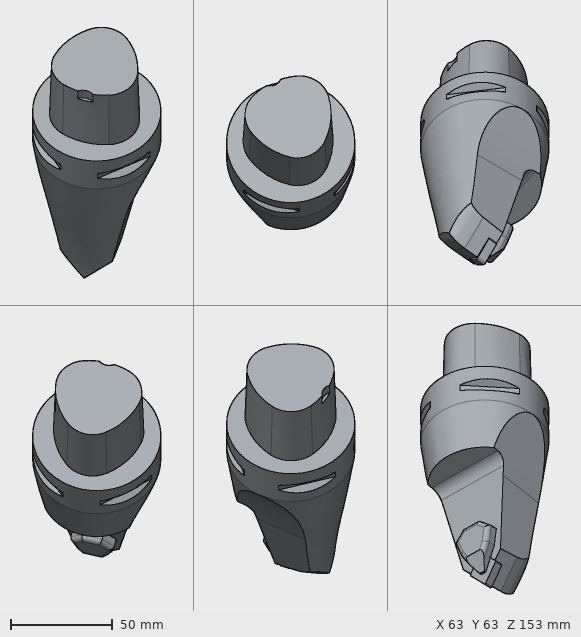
import cadquery as cq
import math


SHANK_LENGTH = 38.0
SHANK_TAPER = math.degrees(math.atan(1 / 40))
FLAT_REACH = 20.7
LOBE_REACH = 23.4
FLAT_RADIUS = 35.6
KEYWAY_RADIUS = 6.0
KEYWAY_WIDTH = 8.0
KEYWAY_LENGTH = 6.0

FLANGE_RADIUS = 63.0 / 2
FLANGE_HEIGHT = 22.2
GROOVE_Z = -12.0
GROOVE_FLOOR_DISTANCE = 27.9
GROOVE_FLOOR_WIDTH = 3.5
GROOVE_FLANK_ANGLE = 30.0

TIP_Z = -115.0
CONE_END_RADIUS = 22.4
CONE_END_Z = -92.0
NECK_RADIUS = 21.7
NECK_Z = -103.0

WAIST_LINE_Z = -60.3
WAIST_HALF_WIDTH = 19.0
WAIST_ANGLE = 10.0

LEDGE_Z = -50.0
RAKE_TOP_Y = 10.2
RAKE_ANGLE = 9.0
RAKE_FILLET = 6.0

INSERT_INSCRIBED_DIAMETER = 12.7
INSERT_POINT_ANGLE = 80.0
INSERT_THICKNESS = 4.76
INSERT_NOSE_RADIUS = 0.8

POINT_SETBACK = 1.4
POINT_ANGLE = 83.0
RIDGE_LENGTH = 12.5
HEEL_RADIUS = 16.1
HEEL_TURN = 60.0

CLAMP_NOSE = 6.4
CLAMP_SHOULDER = 18.7
CLAMP_CORNER = 27.5
CLAMP_BACK = 33.0
CLAMP_HEIGHT = 6.3
CLAMP_NOSE_HEIGHT = 1.2
CLAMP_RAMP_END = 15.5
CLAMP_NOSE_HALF_WIDTH = 1.5
CLAMP_SHOULDER_HALF_WIDTH = 8.5
CLAMP_CORNER_HALF_WIDTH = 11.0
CLAMP_BACK_HALF_WIDTH = 5.0
CLAMP_EDGE_RADIUS = 2.5

MARGIN = 5.0

rake = math.radians(RAKE_ANGLE)
rake_sin = math.sin(rake)
rake_cos = math.cos(rake)
tip_y = RAKE_TOP_Y - (LEDGE_Z - TIP_Z) * math.tan(rake)

rake_plane = cq.Plane(
    origin=(0, tip_y, TIP_Z), xDir=(1, 0, 0), normal=(0, rake_cos, -rake_sin)
)


def polar(distance, degrees):
    angle = math.radians(degrees)
    return (distance * math.cos(angle), distance * math.sin(angle))


def make_shank():
    flat_offset = FLAT_RADIUS - FLAT_REACH
    lobe_gap = FLAT_RADIUS - LOBE_REACH
    lobe_offset = (flat_offset**2 - lobe_gap**2) / (2 * lobe_gap - flat_offset)
    lobe_x, lobe_y = polar(lobe_offset, -30)
    joint_direction = math.atan2(lobe_y - flat_offset, lobe_x)
    joint_x = FLAT_RADIUS * math.cos(joint_direction)
    joint_y = flat_offset + FLAT_RADIUS * math.sin(joint_direction)
    joint_reach = math.hypot(joint_x, joint_y)
    joint_angle = math.degrees(math.atan2(joint_y, joint_x))
    flat_half_angle = joint_angle + 90

    outline = cq.Workplane("XY").moveTo(-joint_x, joint_y)
    for flat_angle in (-90, 30, 150):
        outline = outline.threePointArc(
            polar(FLAT_REACH, flat_angle), polar(joint_reach, flat_angle + flat_half_angle)
        )
        outline = outline.threePointArc(
            polar(LOBE_REACH, flat_angle + 60), polar(joint_reach, flat_angle + 120 - flat_half_angle)
        )
    shank = outline.close().extrude(SHANK_LENGTH, taper=SHANK_TAPER)

    top_flat_y = -(FLAT_REACH - SHANK_LENGTH * math.tan(math.radians(SHANK_TAPER)))
    keyway_sagitta = KEYWAY_RADIUS - math.sqrt(KEYWAY_RADIUS**2 - (KEYWAY_WIDTH / 2) ** 2)
    keyway = (
        cq.Workplane("XY", origin=(0, top_flat_y + keyway_sagitta - KEYWAY_RADIUS, SHANK_LENGTH))
        .circle(KEYWAY_RADIUS)
        .extrude(-KEYWAY_LENGTH)
    )
    return shank.cut(keyway)


def make_head_blank():
    cone_direction = (CONE_END_RADIUS - FLANGE_RADIUS, CONE_END_Z + FLANGE_HEIGHT)
    cone_middle_radius = (FLANGE_RADIUS + CONE_END_RADIUS) / 2
    cone_middle_z = (CONE_END_Z - FLANGE_HEIGHT) / 2
    return (
        cq.Workplane("XZ")
        .moveTo(0, 0)
        .lineTo(FLANGE_RADIUS, 0)
        .lineTo(FLANGE_RADIUS, -FLANGE_HEIGHT)
        .spline(
            [
                (cone_middle_radius, cone_middle_z),
                (CONE_END_RADIUS, CONE_END_Z),
                (NECK_RADIUS, NECK_Z),
                (NECK_RADIUS, TIP_Z),
            ],
            tangents=[cone_direction, (0, -1)],
            includeCurrent=True,
        )
        .lineTo(0, TIP_Z)
        .close()
        .revolve(360, (0, 0, 0), (0, 1, 0))
    )


def make_gripper_groove(angle):
    depth = FLANGE_RADIUS + MARGIN - GROOVE_FLOOR_DISTANCE
    floor_half = GROOVE_FLOOR_WIDTH / 2
    mouth_half = floor_half + depth * math.tan(math.radians(GROOVE_FLANK_ANGLE))
    outer = GROOVE_FLOOR_DISTANCE + depth
    return (
        cq.Workplane("XZ")
        .moveTo(GROOVE_FLOOR_DISTANCE, GROOVE_Z - floor_half)
        .lineTo(outer, GROOVE_Z - mouth_half)
        .lineTo(outer, GROOVE_Z + mouth_half)
        .lineTo(GROOVE_FLOOR_DISTANCE, GROOVE_Z + floor_half)
        .close()
        .extrude(FLANGE_RADIUS, both=True)
        .rotate((0, 0, 0), (0, 0, 1), angle)
    )


def make_waist_cut():
    """Material removed from the +X side: an arc running tangent into a sloped flat."""
    bottom_z = TIP_Z - MARGIN
    slope = math.tan(math.radians(WAIST_ANGLE))
    bottom_x = WAIST_HALF_WIDTH - (WAIST_LINE_Z - bottom_z) * slope
    outer = FLANGE_RADIUS + MARGIN
    return (
        cq.Workplane("XZ")
        .moveTo(bottom_x, bottom_z)
        .lineTo(WAIST_HALF_WIDTH, WAIST_LINE_Z)
        .tangentArcPoint((FLANGE_RADIUS, -FLANGE_HEIGHT), relative=False)
        .lineTo(outer, -FLANGE_HEIGHT)
        .lineTo(outer, bottom_z)
        .close()
        .extrude(outer, both=True)
    )


def make_rake_cut():
    """Step on the +Y side: a flat ledge, a fillet and the sloped rake face."""
    bottom_z = TIP_Z - MARGIN
    bottom_y = RAKE_TOP_Y - (LEDGE_Z - bottom_z) * math.tan(rake)
    outer = FLANGE_RADIUS + MARGIN
    setback = RAKE_FILLET * math.tan(math.radians(90 - RAKE_ANGLE) / 2)
    arc_end = (RAKE_TOP_Y - setback * rake_sin, LEDGE_Z - setback * rake_cos)
    return (
        cq.Workplane("YZ")
        .moveTo(outer, bottom_z)
        .lineTo(outer, LEDGE_Z)
        .lineTo(RAKE_TOP_Y + setback, LEDGE_Z)
        .tangentArcPoint(arc_end, relative=False)
        .lineTo(bottom_y, bottom_z)
        .close()
        .extrude(outer, both=True)
    )


def make_point_cut(side):
    """Material below one flank of the V point: the ridge profile swept up along that flank."""
    ridge_start_y = tip_y + POINT_SETBACK * rake_sin
    ridge_start_z = TIP_Z + POINT_SETBACK * rake_cos
    bottom_z = TIP_Z - FLANGE_RADIUS - MARGIN
    front_y = ridge_start_y + MARGIN * rake_cos
    front_z = ridge_start_z - MARGIN * rake_sin
    arc_start_y = ridge_start_y - RIDGE_LENGTH * rake_cos
    arc_start_z = ridge_start_z + RIDGE_LENGTH * rake_sin
    heel_turn = math.radians(HEEL_TURN)
    heel_run = HEEL_RADIUS * math.sin(heel_turn)
    heel_rise = HEEL_RADIUS * (1 - math.cos(heel_turn))
    heel_y = arc_start_y - heel_run * rake_cos + heel_rise * rake_sin
    heel_z = arc_start_z + heel_run * rake_sin + heel_rise * rake_cos
    back_y = heel_y - 2 * MARGIN
    profile = (
        cq.Workplane("YZ")
        .moveTo(front_y, front_z)
        .lineTo(arc_start_y, arc_start_z)
        .tangentArcPoint((heel_y, heel_z), relative=False)
        .lineTo(back_y, heel_z)
        .lineTo(back_y, bottom_z)
        .lineTo(front_y, bottom_z)
        .close()
    )
    face = cq.Face.makeFromWires(profile.val())
    spread = side * math.tan(math.radians(POINT_ANGLE / 2))
    flank = cq.Vector(spread, rake_sin, rake_cos) * 2 * FLANGE_RADIUS
    return cq.Workplane(cq.Solid.extrudeLinear(face, flank))


def make_clamp():
    """Tapered clamp: its plan outline trimmed by a ramp that falls towards the nose."""
    clamp = (
        cq.Workplane(rake_plane)
        .polyline([
            (-CLAMP_NOSE_HALF_WIDTH, -CLAMP_NOSE),
            (-CLAMP_SHOULDER_HALF_WIDTH, -CLAMP_SHOULDER),
            (-CLAMP_CORNER_HALF_WIDTH, -CLAMP_CORNER),
            (-CLAMP_BACK_HALF_WIDTH, -CLAMP_BACK),
            (CLAMP_BACK_HALF_WIDTH, -CLAMP_BACK),
            (CLAMP_CORNER_HALF_WIDTH, -CLAMP_CORNER),
            (CLAMP_SHOULDER_HALF_WIDTH, -CLAMP_SHOULDER),
            (CLAMP_NOSE_HALF_WIDTH, -CLAMP_NOSE),
        ])
        .close()
        .extrude(CLAMP_HEIGHT)
        .faces(cq.selectors.DirectionMinMaxSelector(rake_plane.zDir, True))
        .edges()
        .fillet(CLAMP_EDGE_RADIUS)
    )
    side_plane = cq.Plane(origin=rake_plane.origin, xDir=-rake_plane.yDir, normal=(-1, 0, 0))
    ramp = (
        cq.Workplane(side_plane)
        .polyline([
            (CLAMP_NOSE, CLAMP_NOSE_HEIGHT),
            (CLAMP_RAMP_END, CLAMP_HEIGHT),
            (CLAMP_NOSE, CLAMP_HEIGHT),
        ])
        .close()
        .extrude(CLAMP_CORNER_HALF_WIDTH, both=True)
    )
    return clamp.cut(ramp)


def make_insert():
    half_angle = math.radians(INSERT_POINT_ANGLE / 2)
    half_length = INSERT_INSCRIBED_DIAMETER / 2 / math.sin(half_angle)
    half_width = INSERT_INSCRIBED_DIAMETER / 2 / math.cos(half_angle)
    corner_loss = INSERT_NOSE_RADIUS * (1 / math.sin(half_angle) - 1)
    return (
        cq.Workplane(rake_plane)
        .center(0, corner_loss - half_length)
        .polyline([(0, half_length), (half_width, 0), (0, -half_length), (-half_width, 0)])
        .close()
        .extrude(-INSERT_THICKNESS)
        .edges(cq.selectors.ParallelDirSelector(rake_plane.zDir))
        .fillet(INSERT_NOSE_RADIUS)
    )


def make_holder(insert):
    waist_cut = make_waist_cut()
    head = make_head_blank().cut(waist_cut).cut(waist_cut.mirror("YZ")).cut(make_rake_cut())
    for angle in (45, 135, 225, 315):
        head = head.cut(make_gripper_groove(angle))
    for side in (-1, 1):
        head = head.cut(make_point_cut(side))
    return head.union(make_shank()).union(make_clamp()).cut(insert).solids()


insert = make_insert()
holder = make_holder(insert)
result = cq.Compound.makeCompound([holder.val(), insert.val()])